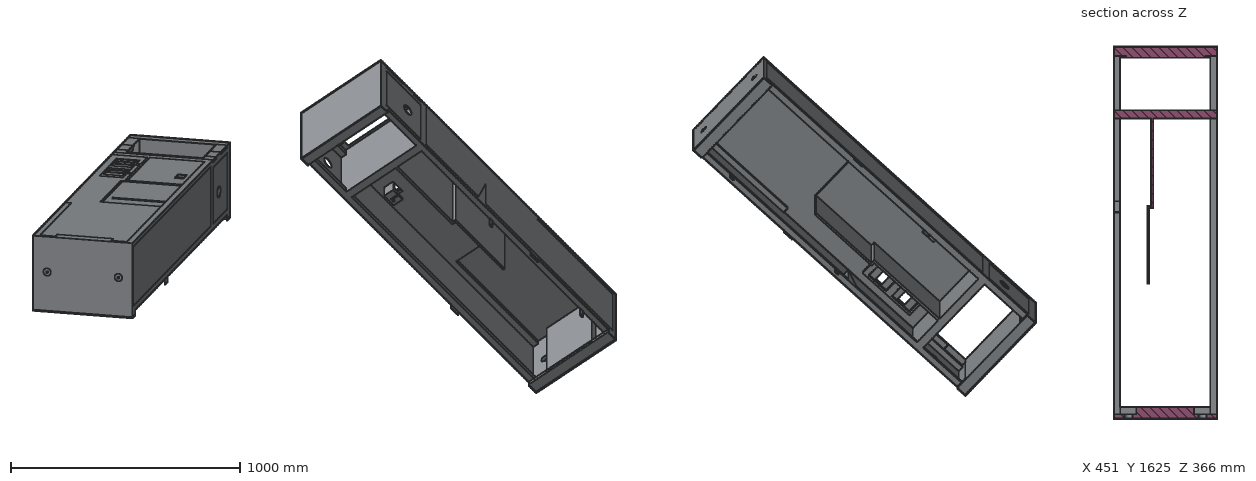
import cadquery as cq

width = 451
length = 1625
total_height = 366
cover_height = 342
skin = 2
end_skin = 4
foot_height = 25
side_bottom = -(cover_height - foot_height)

foot_length = 50
middle_foot_y = 540
bay_x = (54, 400)
bay_y = (1358, 1575)
slot_x = (bay_x[0], 132)
slots_y = ((1173, 1212), (1041, 1077))
window_x = (362, bay_x[1])
window_y = (1041, 1085)
side_hole_diameter = 50
side_hole_y = 1438
side_hole_z = -173
screw_pitch = 322
screw_z = -162
screw_diameter = 8
screw_clearance = 34

frame_x = (skin, width - skin)
frame_y = (end_skin, length - end_skin)
frame_top = -skin
sill_bottom = -337
sills_y = ((frame_y[0], 54), (length - foot_length, frame_y[1]))
rail_height = 25
rail_top = side_bottom + rail_height
left_rail_x = (frame_x[0], 28)
right_rail_x = (420, frame_x[1])
end_wall_y = (frame_y[0], 22)
front_block_x = (97, 350)
front_block_y = 52
rear_wall_y = (1583, frame_y[1])
bay_wall_y = (1310, 1347)
partition_x = (162, 173)
front_partition_x = (146, 155)
partition_step_y = 930
partition_step_length = 10
panel_front_y = 590
panel_drop = 0.5
groove_x = 180
grooves_y = ((653, 671), (921, 944))
plate_thickness = 20
groove_depth = 10
bay_rail_top = -12
bay_pad_y = (1394, 1472)
carrier_x = (37, 141)
carrier_y = (977, 1257)
carrier_pocket_x = (47, slot_x[1])
carrier_pockets_y = ((1142, 1246), (1005, 1108))
bridge_ys = ((1182, 1206), (1044, 1056))
window_pocket_front_y = 1031
hopper_wall = 12
hopper_bottom = -85
upper_ledge_front_y = 1065
upper_ledge_top = -60
lower_ledge_x = 394
lower_ledge_y = (1045, 1059)
lower_ledge_top = -75
web_y = (899, 950)
web_top = -145

tab_x = 25
tab_thickness = 3
tab_width = 22
tab_hole_diameter = 6
tabs_y = (208, 832)


def block(xs, ys, zs):
    """Box between the given X, Y and Z limits."""
    size = [abs(limits[1] - limits[0]) for limits in (xs, ys, zs)]
    corner = (min(xs), min(ys), min(zs))
    return cq.Workplane("XY").box(*size, centered=False).translate(corner)


def cross_bore(diameter):
    """Cylinder along X through both sides at the side hole."""
    return (
        cq.Workplane("YZ")
        .center(side_hole_y, side_hole_z)
        .circle(diameter / 2)
        .extrude(width)
    )


def front_bores(diameter, depth):
    """Two cylinders along Y that start at the front face."""
    return (
        cq.Workplane("XZ")
        .pushPoints([(width / 2 + side * screw_pitch / 2, screw_z) for side in (-1, 1)])
        .circle(diameter / 2)
        .extrude(-depth)
    )


def make_cover():
    """Sheet cover with a top, four walls and feet, open below."""
    cover = block((0, width), (0, length), (-cover_height, 0))
    cover = cover.cut(block(frame_x, frame_y, (-cover_height, -skin)))

    middle_foot_end = middle_foot_y + foot_length
    for gap_y in ((foot_length, middle_foot_y), (middle_foot_end, length - foot_length)):
        cover = cover.cut(block((0, width), gap_y, (-cover_height, side_bottom)))

    cover = cover.cut(block(bay_x, bay_y, (-skin, 0)))
    for slot_y in slots_y:
        cover = cover.cut(block(slot_x, slot_y, (-skin, 0)))
    cover = cover.cut(block(window_x, window_y, (-skin, 0)))

    cover = cover.cut(cross_bore(side_hole_diameter))
    return cover.cut(front_bores(screw_diameter, end_skin))


def make_tab(y):
    """Thin hanging tab with a rounded lower end and a small hole."""
    radius = tab_width / 2
    center_z = radius - total_height
    return (
        cq.Workplane("YZ", origin=(tab_x, 0, 0))
        .moveTo(y - radius, rail_top)
        .lineTo(y - radius, center_z)
        .threePointArc((y, -total_height), (y + radius, center_z))
        .lineTo(y + radius, rail_top)
        .close()
        .moveTo(y, center_z)
        .circle(tab_hole_diameter / 2)
        .extrude(tab_thickness)
    )


def make_slot_carrier():
    """Plate with a pocket around each slot, bridged to the partition."""
    plate_z = (frame_top - plate_thickness, frame_top)
    carrier = block(carrier_x, carrier_y, plate_z)
    for pocket_y in carrier_pockets_y:
        carrier = carrier.cut(block(carrier_pocket_x, pocket_y, plate_z))
    for bridge_y in bridge_ys:
        carrier = carrier.union(block((carrier_x[1], partition_x[1]), bridge_y, plate_z))
    return carrier


def make_panel():
    """Panel right of the partition, with two cross grooves and the window pocket."""
    panel_z = (frame_top - plate_thickness, frame_top - panel_drop)
    right_x = right_rail_x[0]
    panel = block((front_partition_x[1], right_x), (panel_front_y, partition_step_y), panel_z)
    panel = panel.union(block((partition_x[1], right_x), (partition_step_y, bay_wall_y[0]), panel_z))
    for groove_y in grooves_y:
        panel = panel.cut(block((groove_x, right_x), groove_y, (panel_z[1] - groove_depth, panel_z[1])))
    return panel.cut(block(window_x, (window_pocket_front_y, window_y[1]), panel_z))


def make_hopper():
    """Rear and right walls below the small window, with two ledges between them."""
    hopper_z = (hopper_bottom, frame_top - panel_drop)
    rear_y = window_y[1] + hopper_wall
    wall_x = (window_x[1], window_x[1] + hopper_wall)
    hopper = block((window_x[0], wall_x[1]), (window_y[1], rear_y), hopper_z)
    hopper = hopper.union(block(wall_x, (window_pocket_front_y, rear_y), hopper_z))
    front_y = (window_pocket_front_y, lower_ledge_y[0])
    upper_z = (hopper_bottom, upper_ledge_top)
    lower_z = (hopper_bottom, lower_ledge_top)
    hopper = hopper.union(block((window_x[0], wall_x[1]), (upper_ledge_front_y, rear_y), upper_z))
    hopper = hopper.union(block((window_x[0], wall_x[1]), front_y, lower_z))
    return hopper.union(block((window_x[0], lower_ledge_x), lower_ledge_y, lower_z))


def make_web():
    """Web that stands on the left bottom rail, with one slanted edge."""
    return (
        cq.Workplane("YZ", origin=(left_rail_x[0], 0, 0))
        .moveTo(web_y[0], rail_top)
        .lineTo(web_y[1], rail_top)
        .lineTo(web_y[0], web_top)
        .close()
        .extrude(left_rail_x[1] - left_rail_x[0])
    )


def make_frame():
    """Inner frame under the cover: rails, walls, slot carrier, panel, hopper and tabs."""
    full_z = (side_bottom, frame_top)
    end_z = (sill_bottom, frame_top)
    sill_z = (sill_bottom, side_bottom)
    rail_z = (side_bottom, rail_top)
    bay_rail_z = (bay_rail_top - rail_height, bay_rail_top)
    top_z = (frame_top - plate_thickness, frame_top)
    step_y = (partition_step_y - partition_step_length, partition_step_y)

    frame = block(frame_x, end_wall_y, end_z)
    frame = frame.union(block(front_block_x, (end_wall_y[0], front_block_y), full_z))
    frame = frame.union(block(frame_x, rear_wall_y, end_z))
    frame = frame.union(block(bay_x, (bay_y[1], rear_wall_y[0]), end_z))

    for sill_y in sills_y:
        frame = frame.union(block(frame_x, sill_y, sill_z))

    for rail_x in (left_rail_x, right_rail_x):
        frame = frame.union(block(rail_x, frame_y, rail_z))
        frame = frame.union(block(rail_x, (bay_wall_y[1], rear_wall_y[0]), bay_rail_z))
    frame = frame.union(block(right_rail_x, (frame_y[0], bay_wall_y[1]), top_z))
    frame = frame.union(block(left_rail_x, (frame_y[0], middle_foot_y), top_z))

    frame = frame.union(block(frame_x, bay_wall_y, full_z))
    frame = frame.union(block(partition_x, (partition_step_y, bay_wall_y[0]), full_z))
    frame = frame.union(block(front_partition_x, (panel_front_y, partition_step_y), full_z))
    frame = frame.union(block((front_partition_x[0], partition_x[1]), step_y, full_z))

    for pad_x in ((frame_x[0], bay_x[0]), (bay_x[1], frame_x[1])):
        frame = frame.union(block(pad_x, bay_pad_y, top_z))

    for piece in (make_slot_carrier(), make_panel(), make_hopper(), make_web()):
        frame = frame.union(piece)

    for tab_y in tabs_y:
        frame = frame.union(make_tab(tab_y))

    return frame.cut(front_bores(screw_clearance, end_wall_y[1]))


cover = make_cover()
frame = make_frame()

result = cq.Compound.makeCompound([cover.val(), frame.val()])